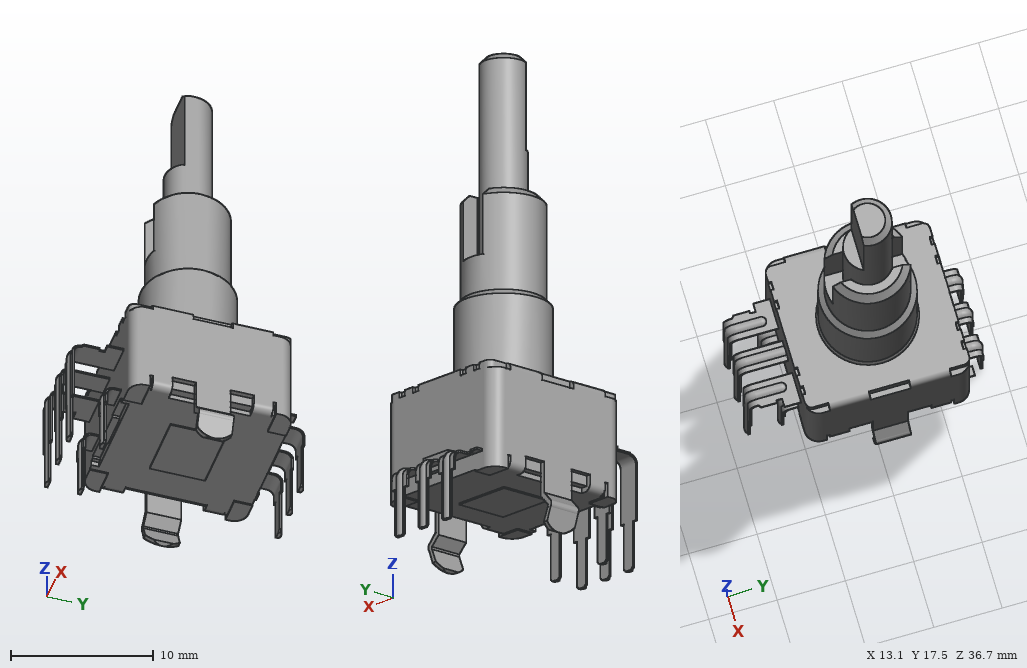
import cadquery as cq
import math


HALF_X = 5.8
HALF_Y = 6.0
HOUSING_TOP = 7.95
CORNER_RADIUS = 1.03
SHEET = 0.35
FOLD_RADIUS = 0.45
CRIMP_RADIUS = 0.55
PLATE_HALF_Y = 4.45
CORNER_DROP = 0.55
COVER_CORNER_RADIUS = 0.48
NOTCH_HALF_Y = 1.45
NOTCH_DROP = 0.65
BASE_Z = 0.1
PLATE_GAP = 0.22
PLATE_GAP_TOP = 1.03
WINDOW_HALF_Y = 3.0
WINDOW_TOP = 1.3

EDGE_POCKET_X = (2.53, 3.95)
EDGE_POCKET_WIDTH = 0.6
EDGE_POCKET_HEIGHT = 0.45
EDGE_POCKET_DEPTH = 0.22

UNDERCUT_HALF_X = 3.4
UNDERCUT_TOP = 0.5
UNDERCUT_DEPTH = 0.55
LEAD_RELIEF_X = (1.35, 3.1)
LEAD_RELIEF_TOP = 0.75
BASE_GAP_HALF_X = 3.8
FOOT_WIDTH_X = 4.75
FOOT_WIDTH_Y = 4.1
PAD_WIDTH = 2.65
PAD_BOTTOM = 0.95
PAD_TOP = 2.15
PAD_THICKNESS = 0.33

LEG_HALF_Y = 1.3
LEG_SPAN = 13.1
LEG_SHOULDER = -3.2
LEG_KINK = (HALF_X, -1.03)
LEG_KNEE_START = (6.38, -1.65)
LEG_KNEE_MIDDLE = (LEG_SPAN / 2, -1.9)
LEG_KNEE_END = (6.45, -2.25)
LEG_TIP_OUTER = (5.9, -3.75)
LEG_TIP_INNER = (5.57, -3.6)
LEG_INNER_KNEE = ((6.15, -2.15), (6.15, -1.98))
LEG_INNER_KINK = (HALF_X - SHEET, -1.3)

BUSHING_RADIUS = 3.5
FLARE = 0.15
FLARE_HEIGHT = 0.33
NECK_RADIUS = 3.05
NECK_BOTTOM = 14.8
NECK_TOP = 22.55
NECK_CHAMFER = 0.55
BORE_RADIUS = 1.85
SLOT_WIDTH = 2.1
SLOT_FLOOR = 17.55
SHAFT_RADIUS = 1.72
SHAFT_TOP = 32.9
SHAFT_CHAMFER = 0.48
FLAT_Y = -0.75
FLAT_BOTTOM = 25.95

LEAD_PITCH = 2.5
LEAD_SHEET = 0.15
LEAD_BEND = 0.65
RIB_HEIGHT = 0.15
RIB_HALF_WIDTH = 0.35
MIDDLE_LEAD_WIDTH = 1.5
SIDE_LEAD_WIDTH = 1.6
PIN_WIDTH = 0.95
PIN_TOP = 0.0
PIN_BOTTOM = -3.55
PIN_CHAMFER = 0.2
LEAD_ROOT_Y = HALF_Y - 0.35
UPPER_LEAD_Z = 4.8
UPPER_LEAD_REACH = 9.6
UPPER_RIB_START = 7.05
LOWER_LEAD_Z = 1.45
FRONT_LOWER_REACH = 7.15
REAR_REACH = 7.55

SIDE_LEAD_EDGE = LEAD_PITCH + SIDE_LEAD_WIDTH / 2
UPPER_EAR = [
    (LEAD_PITCH, -LEAD_ROOT_Y), (3.92, -LEAD_ROOT_Y), (3.92, -7.22), (SIDE_LEAD_EDGE, -7.22),
    (SIDE_LEAD_EDGE, -7.62), (3.5, -7.62), (3.5, -8.8), (SIDE_LEAD_EDGE, -8.95), (LEAD_PITCH, -8.95),
]
REAR_EAR = [
    (LEAD_PITCH, LEAD_ROOT_Y), (4.58, LEAD_ROOT_Y), (4.58, 6.52), (3.9, 6.52),
    (3.9, 6.3), (LEAD_PITCH, 6.3),
]


def block(x0, x1, y0, y1, z0, z1):
    """Box given by its limits along each axis."""
    return cq.Workplane("XY").box(x1 - x0, y1 - y0, z1 - z0, centered=False).translate((x0, y0, z0))


def both_sides(half, plane):
    """A shape together with its mirror image."""
    return half.union(half.mirror(plane))


def bend_cutter(edge_z, radius, up):
    """Material outside a rounded long edge on the +X side; up is 1 for an upper edge, -1 for a lower one."""
    centre_x = HALF_X - radius
    centre_z = edge_z - up * radius
    diagonal = radius * math.sqrt(0.5)
    return (
        cq.Workplane("XZ")
        .moveTo(HALF_X, centre_z)
        .threePointArc((centre_x + diagonal, centre_z + up * diagonal), (centre_x, edge_z))
        .lineTo(HALF_X, edge_z)
        .close()
        .extrude(PLATE_HALF_Y, both=True)
    )


def housing_side_cuts():
    """Everything removed along the +X side of the housing."""
    fold_x = HALF_X - FOLD_RADIUS
    inner_x = HALF_X - SHEET
    gap_y = PLATE_HALF_Y + PLATE_GAP
    cuts = bend_cutter(HOUSING_TOP, FOLD_RADIUS, 1).union(bend_cutter(BASE_Z, CRIMP_RADIUS, -1))
    cuts = cuts.union(
        block(fold_x, HALF_X, -NOTCH_HALF_Y, NOTCH_HALF_Y, HOUSING_TOP - NOTCH_DROP, HOUSING_TOP)
    )
    cuts = cuts.union(
        block(inner_x, HALF_X, -WINDOW_HALF_Y, WINDOW_HALF_Y, 0, WINDOW_TOP)
    )
    cuts = cuts.union(
        block(inner_x - UNDERCUT_DEPTH, HALF_X, -WINDOW_HALF_Y, WINDOW_HALF_Y, 0, UNDERCUT_TOP)
    )
    slit = block(inner_x, HALF_X, PLATE_HALF_Y, gap_y, 0, PLATE_GAP_TOP)
    return cuts.union(both_sides(slit, "XZ"))


def corner_shoulders():
    """Corner material above the shoulders, outside the rounded corners of the cover top."""
    bottom = HOUSING_TOP - CORNER_DROP
    cover = (
        cq.Workplane("XY", origin=(0, 0, bottom))
        .rect(2 * (HALF_X - FOLD_RADIUS), 2 * HALF_Y)
        .extrude(CORNER_DROP)
        .edges("|Z")
        .fillet(COVER_CORNER_RADIUS)
    )
    end = block(-HALF_X, HALF_X, PLATE_HALF_Y, HALF_Y, bottom, HOUSING_TOP)
    return both_sides(end, "XZ").cut(cover)


def front_undercut():
    """Recess along the foot of the front wall, raised where the lower leads come out."""
    back_y = -HALF_Y + UNDERCUT_DEPTH
    recess = block(-UNDERCUT_HALF_X, UNDERCUT_HALF_X, -HALF_Y, back_y, 0, UNDERCUT_TOP)
    relief = block(*LEAD_RELIEF_X, -HALF_Y, back_y, 0, LEAD_RELIEF_TOP)
    return recess.union(both_sides(relief, "YZ"))


def edge_pockets():
    """Four small pockets along each of the front and rear top edges."""
    pockets = cq.Workplane("XY")
    half = EDGE_POCKET_WIDTH / 2
    for x in EDGE_POCKET_X:
        pocket = block(
            x - half, x + half, HALF_Y - EDGE_POCKET_DEPTH, HALF_Y,
            HOUSING_TOP - EDGE_POCKET_HEIGHT, HOUSING_TOP,
        )
        pockets = pockets.union(pocket)
    return both_sides(both_sides(pockets, "YZ"), "XZ")


def housing():
    """Rounded block with folded side plates, corner legs, base undercuts and a rear pad."""
    body = (
        cq.Workplane("XY")
        .rect(2 * HALF_X, 2 * HALF_Y)
        .extrude(HOUSING_TOP)
        .edges("|Z")
        .fillet(CORNER_RADIUS)
    )
    leg_y = PLATE_HALF_Y + PLATE_GAP
    body = body.cut(block(-HALF_X, HALF_X, -leg_y, leg_y, 0, BASE_Z))
    body = body.cut(block(-BASE_GAP_HALF_X, BASE_GAP_HALF_X, -HALF_Y, HALF_Y, 0, BASE_Z))
    body = body.cut(both_sides(housing_side_cuts(), "YZ"))
    body = body.cut(edge_pockets())
    body = body.cut(corner_shoulders())
    body = body.cut(front_undercut())
    foot = cq.Workplane("XY").rect(FOOT_WIDTH_X, FOOT_WIDTH_Y).extrude(UNDERCUT_TOP)
    pad = block(-PAD_WIDTH / 2, PAD_WIDTH / 2, HALF_Y, HALF_Y + PAD_THICKNESS, PAD_BOTTOM, PAD_TOP)
    return body.union(foot).union(pad)


def snap_leg():
    """Kinked leg hanging from the +X side plate, with an arched tip."""
    bottom = LEG_TIP_OUTER[1]
    profile = (
        cq.Workplane("XZ")
        .moveTo(HALF_X - SHEET, WINDOW_TOP)
        .lineTo(HALF_X, WINDOW_TOP)
        .lineTo(*LEG_KINK)
        .lineTo(*LEG_KNEE_START)
        .threePointArc(LEG_KNEE_MIDDLE, LEG_KNEE_END)
        .lineTo(*LEG_TIP_OUTER)
        .lineTo(*LEG_TIP_INNER)
        .lineTo(*LEG_INNER_KNEE[0])
        .lineTo(*LEG_INNER_KNEE[1])
        .lineTo(*LEG_INNER_KINK)
        .close()
        .extrude(LEG_HALF_Y, both=True)
    )
    outline = (
        cq.Workplane("YZ")
        .moveTo(-LEG_HALF_Y, WINDOW_TOP)
        .lineTo(-LEG_HALF_Y, LEG_SHOULDER)
        .threePointArc((0, bottom), (LEG_HALF_Y, LEG_SHOULDER))
        .lineTo(LEG_HALF_Y, WINDOW_TOP)
        .close()
        .extrude(LEG_SPAN / 2)
    )
    return profile.intersect(outline)


def bushing():
    """Stepped bushing, bored for the shaft and slotted across its neck."""
    slope = BUSHING_RADIUS - NECK_RADIUS
    body = (
        cq.Workplane("XZ")
        .polyline(
            [
                (0, HOUSING_TOP),
                (BUSHING_RADIUS + FLARE, HOUSING_TOP),
                (BUSHING_RADIUS, HOUSING_TOP + FLARE_HEIGHT),
                (BUSHING_RADIUS, NECK_BOTTOM - slope),
                (NECK_RADIUS, NECK_BOTTOM),
                (NECK_RADIUS, NECK_TOP - NECK_CHAMFER),
                (NECK_RADIUS - NECK_CHAMFER, NECK_TOP),
                (0, NECK_TOP),
            ]
        )
        .close()
        .revolve(360, (0, 0, 0), (0, 1, 0))
    )
    slot = block(-SLOT_WIDTH / 2, SLOT_WIDTH / 2, -NECK_RADIUS, NECK_RADIUS, SLOT_FLOOR, NECK_TOP)
    bore = cq.Workplane("XY", origin=(0, 0, SLOT_FLOOR)).circle(BORE_RADIUS).extrude(NECK_TOP - SLOT_FLOOR)
    return body.cut(slot).cut(bore)


def shaft():
    """Round shaft with a chamfered end and a flat facing -Y."""
    rod = (
        cq.Workplane("XY", origin=(0, 0, HOUSING_TOP))
        .circle(SHAFT_RADIUS)
        .extrude(SHAFT_TOP - HOUSING_TOP)
        .faces(">Z")
        .chamfer(SHAFT_CHAMFER)
    )
    flat = block(-SHAFT_RADIUS, SHAFT_RADIUS, -SHAFT_RADIUS, FLAT_Y, FLAT_BOTTOM, SHAFT_TOP)
    return rod.cut(flat)


def lead_path(workplane, reach, top):
    """Continue a path outward from its current point, round the bend and down to the pin end."""
    centre_y = LEAD_BEND - reach
    centre_z = top - LEAD_BEND
    diagonal = LEAD_BEND * math.sqrt(0.5)
    return (
        workplane
        .lineTo(centre_y, top)
        .threePointArc((centre_y - diagonal, centre_z + diagonal), (-reach, centre_z))
        .lineTo(-reach, PIN_BOTTOM)
    )


def lead_strip(width, reach, top):
    """Sheet strip leaving the housing toward -Y and bent down."""
    inner = LEAD_BEND - LEAD_SHEET
    start = cq.Workplane("YZ").moveTo(-LEAD_ROOT_Y, top)
    outer_side = lead_path(start, reach, top)
    return (
        outer_side
        .lineTo(LEAD_SHEET - reach, PIN_BOTTOM)
        .lineTo(LEAD_SHEET - reach, top - LEAD_BEND)
        .radiusArc((LEAD_BEND - reach, top - LEAD_BEND + inner), inner)
        .lineTo(-LEAD_ROOT_Y, top - LEAD_SHEET)
        .close()
        .extrude(width / 2, both=True)
    )


def lead_rib(reach, top, start_y):
    """Ridge with a rounded section along the outer face of a lead."""
    root = LEAD_SHEET / 2
    start = cq.Workplane("YZ").moveTo(-start_y, top)
    path = lead_path(start, reach, top)
    section = (
        cq.Workplane("XZ", origin=(0, -start_y, top))
        .moveTo(-RIB_HALF_WIDTH, 0)
        .threePointArc((0, RIB_HEIGHT), (RIB_HALF_WIDTH, 0))
        .lineTo(RIB_HALF_WIDTH, -root)
        .lineTo(-RIB_HALF_WIDTH, -root)
        .close()
    )
    return section.sweep(path)


def rib_end(y):
    """Domed end of a rib, centred at (0, y) on the upper lead sheet."""
    dome_radius = (RIB_HALF_WIDTH**2 + RIB_HEIGHT**2) / (2 * RIB_HEIGHT)
    dome_z = UPPER_LEAD_Z + RIB_HEIGHT - dome_radius
    dome = cq.Workplane("XY", origin=(0, y, dome_z)).sphere(dome_radius)
    disc = (
        cq.Workplane("XY", origin=(0, y, UPPER_LEAD_Z - LEAD_SHEET / 2))
        .circle(RIB_HALF_WIDTH)
        .extrude(LEAD_SHEET / 2 + RIB_HEIGHT)
    )
    return dome.intersect(disc)


def lead_outline(width, reach):
    """Solid bounding a lead as seen along Y: wide blade, narrow pin and chamfered tip."""
    half = width / 2
    pin = PIN_WIDTH / 2
    right = [
        (pin - PIN_CHAMFER, PIN_BOTTOM), (pin, PIN_BOTTOM + PIN_CHAMFER),
        (pin, PIN_TOP), (half, PIN_TOP), (half, HOUSING_TOP),
    ]
    left = [(-x, z) for x, z in reversed(right)]
    return cq.Workplane("XZ").polyline(right + left).close().extrude(reach + LEAD_BEND)


def lead(x, reach, top, rib_start=LEAD_ROOT_Y):
    """Ribbed lead toward -Y; the middle one of a row, at x = 0, is narrower."""
    width = SIDE_LEAD_WIDTH if x else MIDDLE_LEAD_WIDTH
    body = lead_strip(width, reach, top).union(lead_rib(reach, top, rib_start))
    return body.intersect(lead_outline(width, reach)).translate((x, 0, 0))


def lead_ears(points, top):
    """Flat ears widening both side leads of a row."""
    ear = (
        cq.Workplane("XY", origin=(0, 0, top - LEAD_SHEET))
        .polyline(points)
        .close()
        .extrude(LEAD_SHEET)
    )
    return both_sides(ear, "YZ")


def upper_leads():
    """Row of three leads high on the front wall."""
    leads = lead_ears(UPPER_EAR, UPPER_LEAD_Z)
    for x in (-LEAD_PITCH, 0, LEAD_PITCH):
        rib_start = UPPER_RIB_START if x else LEAD_ROOT_Y
        leads = leads.union(lead(x, UPPER_LEAD_REACH, UPPER_LEAD_Z, rib_start))
        if x:
            leads = leads.union(rib_end(-UPPER_RIB_START).translate((x, 0, 0)))
    return leads


def front_lower_leads():
    """Two short leads low on the front wall."""
    return both_sides(lead(LEAD_PITCH, FRONT_LOWER_REACH, LOWER_LEAD_Z), "YZ")


def rear_leads():
    """Row of three leads low on the rear wall."""
    leads = lead_ears(REAR_EAR, LOWER_LEAD_Z)
    for x in (-LEAD_PITCH, 0, LEAD_PITCH):
        leads = leads.union(lead(x, REAR_REACH, LOWER_LEAD_Z).mirror("XZ"))
    return leads


result = (
    housing()
    .union(both_sides(snap_leg(), "YZ"))
    .union(bushing())
    .union(shaft())
    .union(upper_leads())
    .union(front_lower_leads())
    .union(rear_leads())
)